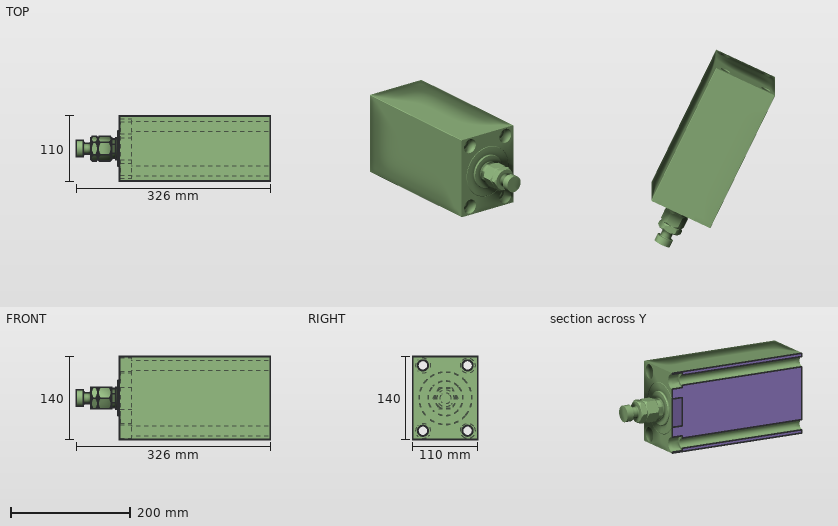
import cadquery as cq
import math

FULL_TURN = 360
HEX_SIDES = 6

total_length = 326.0
housing_width = 110.0
housing_height = 140.0
housing_edge_chamfer = 0.5

head_end_x = 12.0
hex_start_x = 24.8
hex_joint_x = 36.5
hex_end_x = 59.3
flats_end_x = 66.8
collar_x = 69.8
housing_x = 72.7

bolt_spacing_y = 75.0
bolt_spacing_z = 110.0
bolt_hole_diameter = 17.0
counterbore_diameter = 25.0
counterbore_depth = 19.5

gland_diameter = 89.3
gland_depth = 19.5
gland_chamfer = 1.0
collar_diameter = 59.3
collar_chamfer = 1.0

rod_diameter = 37.0
rod_end_diameter = 36.0
rod_across_flats = 32.5

head_diameter = 28.5
neck_diameter = 18.5
neck_fillet = 2.0
hex_across_flats = 36.5
hex_end_diameter = 36.0

gland_end_x = housing_x + gland_depth


def cylinder(diameter, start_x, end_x):
    """Solid cylinder around the X axis between two stations."""
    return cq.Workplane("YZ", origin=(start_x, 0, 0)).circle(diameter / 2).extrude(end_x - start_x)


def make_housing():
    """Block with chamfered long edges, four counterbored through holes and the gland recess."""
    length = total_length - housing_x
    block = (
        cq.Workplane("YZ", origin=(housing_x, 0, 0))
        .rect(housing_width, housing_height)
        .extrude(length)
        .edges("|X")
        .chamfer(housing_edge_chamfer)
    )
    block = (
        block.faces("<X")
        .workplane(origin=(housing_x, 0, 0))
        .rect(bolt_spacing_y, bolt_spacing_z, forConstruction=True)
        .vertices()
        .cboreHole(bolt_hole_diameter, counterbore_diameter, counterbore_depth)
    )
    return block.cut(cylinder(gland_diameter, housing_x, gland_end_x))


def make_gland():
    """Chamfered disc and collar, bored through for the rod."""
    disc = cylinder(gland_diameter, housing_x, gland_end_x).faces("<X").chamfer(gland_chamfer)
    collar = cylinder(collar_diameter, collar_x, housing_x).faces("<X").chamfer(collar_chamfer)
    rod_bore = cylinder(rod_diameter, collar_x, gland_end_x)
    return disc.union(collar).cut(rod_bore)


def make_rod():
    """Rod from the coupling pin to the back of the gland, its slimmer free end with four flats."""
    flats_length = flats_end_x - hex_end_x
    square = (
        cq.Workplane("YZ", origin=(hex_end_x, 0, 0))
        .rect(rod_across_flats, rod_across_flats)
        .extrude(flats_length)
    )
    flatted_end = cylinder(rod_end_diameter, hex_end_x, flats_end_x).intersect(square)
    return cylinder(rod_diameter, flats_end_x, gland_end_x).union(flatted_end)


def make_hexagon(start_x, end_x):
    """Hexagon with flats facing up and down, its corners turned down at 45 degrees at both ends."""
    corner_radius = hex_across_flats / 2 / math.cos(math.pi / HEX_SIDES)
    end_radius = hex_end_diameter / 2
    chamfer_length = corner_radius - end_radius
    prism = (
        cq.Workplane("YZ", origin=(start_x, 0, 0))
        .polygon(HEX_SIDES, 2 * corner_radius)
        .extrude(end_x - start_x)
    )
    envelope = (
        cq.Workplane("XZ")
        .moveTo(start_x, 0)
        .lineTo(start_x, end_radius)
        .lineTo(start_x + chamfer_length, corner_radius)
        .lineTo(end_x - chamfer_length, corner_radius)
        .lineTo(end_x, end_radius)
        .lineTo(end_x, 0)
        .close()
        .revolve(FULL_TURN, (0, 0, 0), (1, 0, 0))
    )
    return prism.intersect(envelope)


def make_coupling_pin():
    """Round head on a neck filleted at both ends, followed by two hexagons end to end."""
    head_radius = head_diameter / 2
    neck_radius = neck_diameter / 2
    root_radius = neck_radius + neck_fillet
    arc_offset = neck_fillet * (1 - math.sqrt(0.5))
    stud = (
        cq.Workplane("XZ")
        .lineTo(0, head_radius)
        .lineTo(head_end_x, head_radius)
        .lineTo(head_end_x, root_radius)
        .threePointArc(
            (head_end_x + arc_offset, neck_radius + arc_offset),
            (head_end_x + neck_fillet, neck_radius),
        )
        .lineTo(hex_start_x - neck_fillet, neck_radius)
        .threePointArc(
            (hex_start_x - arc_offset, neck_radius + arc_offset),
            (hex_start_x, root_radius),
        )
        .lineTo(hex_start_x, 0)
        .close()
        .revolve(FULL_TURN, (0, 0, 0), (1, 0, 0))
    )
    front_hexagon = make_hexagon(hex_start_x, hex_joint_x)
    rear_hexagon = make_hexagon(hex_joint_x, hex_end_x)
    return stud.union(front_hexagon).union(rear_hexagon)


housing = make_housing()
gland = make_gland()
rod = make_rod()
coupling_pin = make_coupling_pin()

result = cq.Compound.makeCompound([housing.val(), gland.val(), rod.val(), coupling_pin.val()])